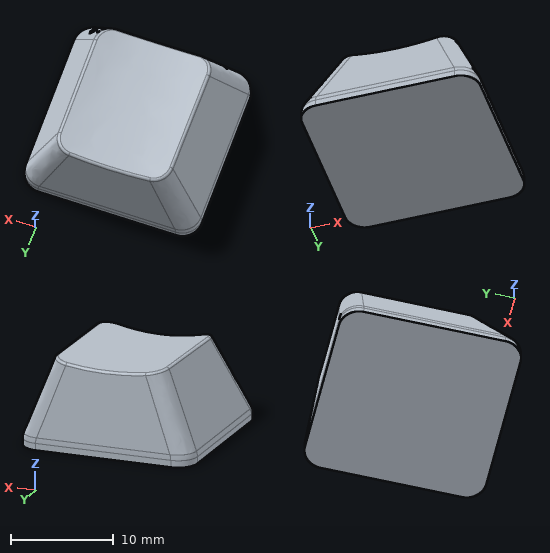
import cadquery as cq

base_size = 18.16
base_corner_radius = 2.0
skirt_height = 0.73
bend_height = 0.56

side_lean = 0.39
back_lean = 0.088
blank_height = 10.17
top_corner_radius = 1.82

dish_half_width = 6.0
dish_back_rim = 9.43
dish_back_floor = 8.77
dish_front_rim = 9.2
dish_front_floor = 8.1
dish_back_y = 8.35
dish_front_y = -6.17
rim_fillet = 0.27


def wall_inset(height):
    """Inward travel of a wall, per unit of its lean, at a height above the base."""
    above = height - skirt_height
    if above <= bend_height:
        return above**2 / (2 * bend_height)
    return above - bend_height / 2


def wall_section(height):
    """Rounded-rectangle outline of the blank at a height above the base."""
    inset = wall_inset(height)
    width = base_size - 2 * side_lean * inset
    depth = base_size - (side_lean + back_lean) * inset
    center_y = (side_lean - back_lean) * inset / 2
    final_inset = wall_inset(blank_height)
    radius = base_corner_radius + (top_corner_radius - base_corner_radius) * inset / final_inset
    outline = cq.Sketch().rect(width, depth).vertices().fillet(radius)
    return outline.moved(cq.Location(cq.Vector(0, center_y, height)))


def make_blank():
    """Rounded-square skirt, curved bend and leaning walls."""
    bend_top = skirt_height + bend_height
    bend_middle = skirt_height + bend_height / 2
    lower = wall_section(skirt_height)
    middle = wall_section(bend_middle)
    upper = wall_section(bend_top)
    top = wall_section(blank_height)
    skirt = cq.Workplane().placeSketch(lower.moved(cq.Location(cq.Vector(0, 0, -skirt_height))))
    bend = cq.Workplane().placeSketch(lower, middle, upper).loft()
    walls = cq.Workplane().placeSketch(upper, top).loft(ruled=True)
    return skirt.extrude(skirt_height).union(bend).union(walls)


def dish_section(y, rim, floor):
    """Wire at a given y: concave arc below, flat line above the blank."""
    sag = rim - floor
    radius = (dish_half_width**2 + sag**2) / (2 * sag)
    edge_x = base_size / 2
    edge_z = floor + radius - (radius**2 - edge_x**2) ** 0.5
    cutter_top = blank_height + base_size / 2
    profile = (
        cq.Workplane("XZ", origin=(0, y, 0))
        .moveTo(-edge_x, edge_z)
        .threePointArc((0, floor), (edge_x, edge_z))
        .lineTo(edge_x, cutter_top)
        .lineTo(-edge_x, cutter_top)
        .close()
    )
    return profile.val()


def make_dish_cutter():
    """Straight-lined solid between two arcs, running past both ends of the top."""
    def extended(y, back, front):
        slope = (back - front) / (dish_back_y - dish_front_y)
        return front + slope * (y - dish_front_y)

    sections = []
    for y in (-base_size / 2, base_size / 2):
        rim = extended(y, dish_back_rim, dish_front_rim)
        floor = extended(y, dish_back_floor, dish_front_floor)
        sections.append(dish_section(y, rim, floor))
    return cq.Workplane(cq.Solid.makeLoft(sections, True))


dished = make_blank().cut(make_dish_cutter())
top_point = (0, 0, dish_back_floor)
result = dished.faces(cq.selectors.NearestToPointSelector(top_point)).edges().fillet(rim_fillet)